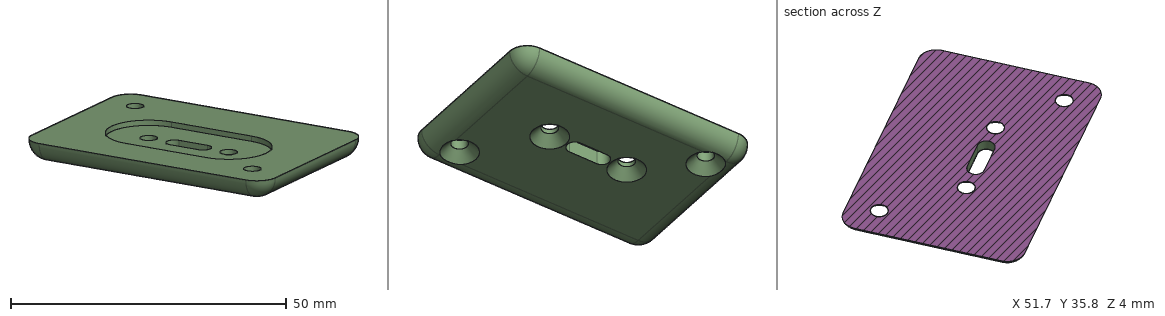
import cadquery as cq
import math

plate_length = 51.72
plate_width = 35.81
plate_thickness = 4.0
rim_height = 0.1
edge_radius = plate_thickness - rim_height
corner_radius = edge_radius

pocket_length = 32.8
pocket_width = 15.8
pocket_depth = 1.0
pocket_y = -1.75

screw_hole_diameter = 3.2
slot_length = 9.2
slot_width = screw_hole_diameter
inner_hole_offset = 8.5
corner_hole_x = 19.36
corner_hole_y = 11.3

head_diameter = 7.2
countersink_angle = 90.0

inner_holes = [(-inner_hole_offset, pocket_y), (inner_hole_offset, pocket_y)]
corner_holes = [(-corner_hole_x, corner_hole_y), (corner_hole_x, -corner_hole_y)]


def make_plate():
    """Rounded rectangle from Z = 0 up, with its bottom edge rounded over."""
    block = cq.Workplane("XY").box(plate_length, plate_width, plate_thickness, centered=(True, True, False))
    return block.edges("|Z").fillet(corner_radius).faces("<Z").edges().fillet(edge_radius)


def make_pocket():
    """Shallow recess in the top face."""
    pocket_floor = plate_thickness - pocket_depth
    floor_plane = cq.Workplane("XY", origin=(0, pocket_y, pocket_floor))
    return floor_plane.slot2D(pocket_length, pocket_width).extrude(pocket_depth)


def make_slot():
    """Through slot in the middle of the pocket."""
    underside = cq.Workplane("XY", origin=(0, pocket_y, 0))
    return underside.slot2D(slot_length, slot_width).extrude(plate_thickness)


def make_screw_hole(centre):
    """Through hole, countersunk from the underside."""
    shank_radius = screw_hole_diameter / 2
    head_radius = head_diameter / 2
    head_depth = (head_radius - shank_radius) / math.tan(math.radians(countersink_angle / 2))
    shank = cq.Solid.makeCylinder(shank_radius, plate_thickness)
    head = cq.Solid.makeCone(head_radius, shank_radius, head_depth)
    return cq.Workplane(shank).union(cq.Workplane(head)).translate((*centre, 0))


result = make_plate().cut(make_pocket()).cut(make_slot())
for hole_centre in inner_holes + corner_holes:
    result = result.cut(make_screw_hole(hole_centre))